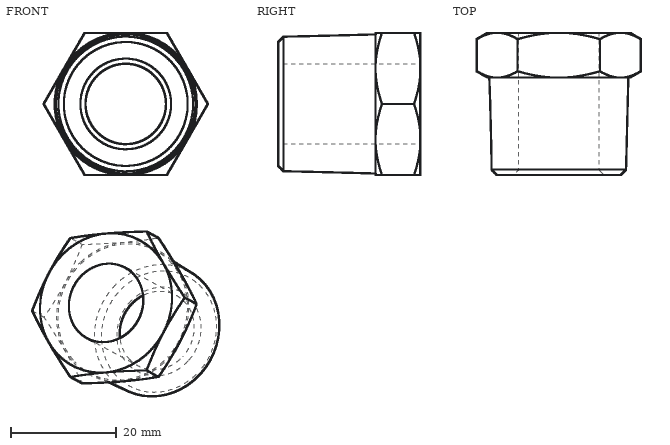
import cadquery as cq
import math

across_corners = 31.18
total_length = 27.0
hex_length = 8.5
hex_crown_radius = 13.5
crown_angle = 30.0
taper_root_radius = 13.22
taper_tip_radius = 12.78
tip_chamfer = 1.03
bore_radius = 7.6
bore_chamfer = 1.0

body_length = total_length - hex_length
corner_radius = across_corners / 2
crown_depth = (corner_radius - hex_crown_radius) * math.tan(math.radians(crown_angle))


def revolve_about_y(points):
    """Turn a closed (radius, y) outline a full turn about the Y axis."""
    return cq.Workplane("XY").polyline(points).close().revolve(360, (0, 0, 0), (0, 1, 0))


def hexagon():
    """Hexagon with two corners on the X axis and its corners chamfered at both ends."""
    prism = (
        cq.Workplane("XZ", origin=(0, total_length, 0))
        .polygon(6, across_corners)
        .extrude(hex_length)
    )
    crown = revolve_about_y([
        (0, body_length),
        (hex_crown_radius, body_length),
        (corner_radius, body_length + crown_depth),
        (corner_radius, total_length - crown_depth),
        (hex_crown_radius, total_length),
        (0, total_length),
    ])
    return prism.intersect(crown)


def tapered_body():
    """Body narrowing towards the tip at Y = 0, with a chamfered tip edge."""
    return revolve_about_y([
        (0, 0),
        (taper_tip_radius - tip_chamfer, 0),
        (taper_tip_radius, tip_chamfer),
        (taper_root_radius, body_length),
        (0, body_length),
    ])


def bore():
    """Through bore with a chamfered mouth at the tip end."""
    mouth_radius = bore_radius + bore_chamfer
    return revolve_about_y([
        (0, 0),
        (mouth_radius, 0),
        (bore_radius, bore_chamfer),
        (bore_radius, total_length),
        (0, total_length),
    ])


result = hexagon().union(tapered_body()).cut(bore())